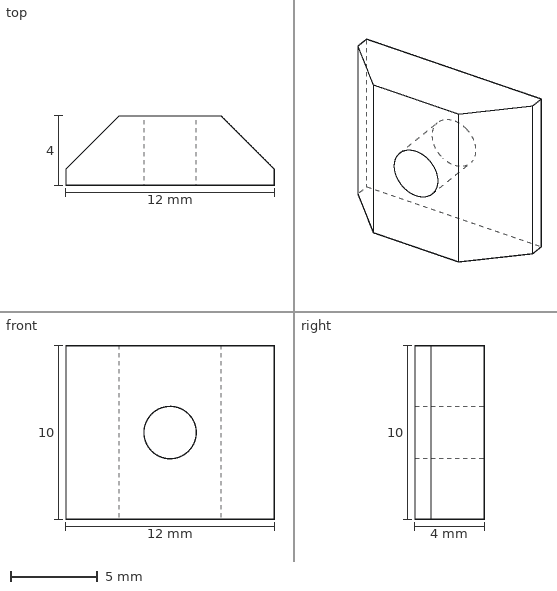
import cadquery as cq

width = 12.0
depth = 4.0
height = 10.0
bevel = 3.07
hole_diameter = 3.0

block = cq.Workplane("XY").box(width, depth, height)

nut = block.faces(">Y").edges("|Z").chamfer(bevel)

result = nut.faces("<Y").workplane(centerOption="CenterOfBoundBox").hole(hole_diameter)